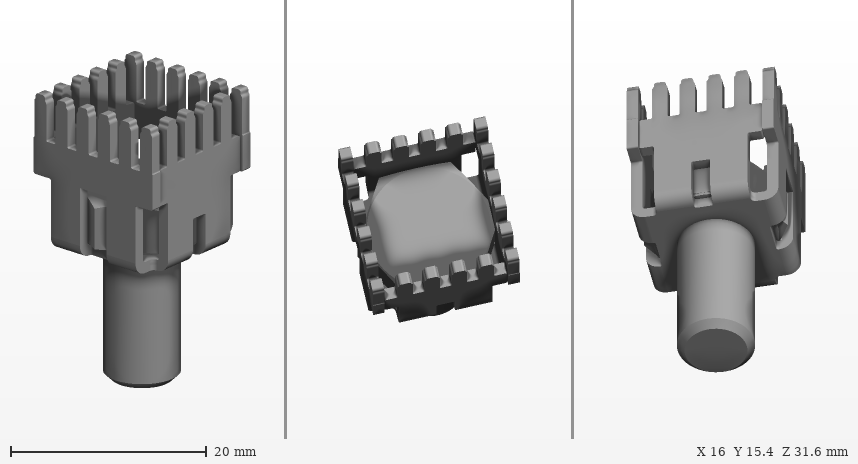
import cadquery as cq
import math

sheet = 1.2
cage_width = 15.4
bend_inner_radius = 0.3
bracket_height = 16.8
band_bottom = 7.87
finger_root = 11.82
front_band_width = 16.0
band_gap = 0.1
edge_radius = 0.2

front_leg_span = 11.38
side_leg_span = 9.8
floor_corner_radius = 0.5
front_slot_width = 3.57
side_slot_width = 2.0
side_slot_top = 4.9
slot_corner_radius = 0.25

finger_pitch = 2.85
finger_width = 1.6
front_finger_count = 6
side_finger_count = 4
neck_width = 1.23
neck_drop = 0.45
tip_radius = 0.3
hollow_radius = 0.3
shoulder_radius = 0.47

shank_diameter = 8.03
shank_length = 14.8
shank_end_diameter = 6.45
end_chamfer_length = 0.75
washer_face_diameter = 12.95
washer_face_height = 0.32
head_top = 6.67
head_chamfer_angle = 30
head_top_diameter = 12.7

half_cage = cage_width / 2
half_inside = half_cage - sheet
bend_outer_radius = bend_inner_radius + sheet
slot_floor_reach = half_inside - bend_inner_radius - slot_corner_radius
side_band_width = 2 * (half_inside - band_gap)
hex_across_flats = 2 * half_inside
hex_across_corners = hex_across_flats / math.cos(math.radians(30))
hex_bottom = sheet + washer_face_height


def bent_strip(width):
    """U-shaped strip along X: floor, two bends and two walls up to the band."""
    outer = (
        cq.Workplane("XY")
        .box(cage_width, width, band_bottom, centered=(True, True, False))
        .edges("|Y and <Z")
        .fillet(bend_outer_radius)
    )
    inner = (
        cq.Workplane("XY", origin=(0, 0, sheet))
        .box(2 * half_inside, width, band_bottom, centered=(True, True, False))
        .edges("|Y and <Z")
        .fillet(bend_inner_radius)
    )
    return outer.cut(inner)


def quarter_turn(body):
    return body.rotate((0, 0, 0), (0, 0, 1), 90)


def floor_and_legs():
    """Two crossed strips; the four open corners of the floor are rounded."""
    cross = bent_strip(side_leg_span).union(quarter_turn(bent_strip(front_leg_span)))
    for sx in (-1, 1):
        for sy in (-1, 1):
            corner = (sx * front_leg_span / 2, sy * side_leg_span / 2, sheet / 2)
            cross = cross.edges(cq.selectors.NearestToPointSelector(corner)).fillet(floor_corner_radius)
    return cross


def leg_slots(width, top):
    """Pair of slots through the -X and +X walls and bends, with rounded corners in the floor."""
    depth = half_cage - slot_floor_reach
    slots = cq.Workplane("XY")
    for side in (-1, 1):
        slots = slots.union(
            cq.Workplane("XY")
            .center(side * (slot_floor_reach + depth / 2), 0)
            .box(depth, width, top, centered=(True, True, False))
            .edges("|Z and " + ("<X" if side > 0 else ">X"))
            .fillet(slot_corner_radius)
        )
    return slots


def finger(center_x):
    """One finger on the XZ plane: flared root, straight sides, S-shaped shoulders, rounded tip."""
    half = finger_width / 2
    neck = neck_width / 2
    neck_end = bracket_height - neck_drop
    swing = math.acos(1 - (half - neck) / (hollow_radius + shoulder_radius))
    shoulder_middle = neck_end - hollow_radius * math.sin(swing)
    side_top = shoulder_middle - shoulder_radius * math.sin(swing)
    middle_half = neck + hollow_radius * (1 - math.cos(swing))
    foot = finger_root - edge_radius
    right_half = (
        cq.Workplane("XZ")
        .moveTo(0, foot)
        .lineTo(half + edge_radius, foot)
        .lineTo(half + edge_radius, finger_root)
        .radiusArc((half, finger_root + edge_radius), edge_radius)
        .lineTo(half, side_top)
        .radiusArc((middle_half, shoulder_middle), -shoulder_radius)
        .radiusArc((neck, neck_end), hollow_radius)
        .lineTo(neck, bracket_height - tip_radius)
        .radiusArc((neck - tip_radius, bracket_height), -tip_radius)
        .lineTo(0, bracket_height)
        .close()
        .extrude(sheet)
    )
    return right_half.union(right_half.mirror("YZ")).translate((center_x, 0, 0))


def comb(band_width, leg_span, finger_count):
    """Band with its row of fingers, filling Y = -sheet to 0."""
    band = (
        cq.Workplane("XZ")
        .center(0, (band_bottom + finger_root) / 2)
        .rect(band_width, finger_root - band_bottom)
        .extrude(sheet)
        .edges("|Y")
        .fillet(edge_radius)
    )
    for i in range(finger_count):
        band = band.union(finger((i - (finger_count - 1) / 2) * finger_pitch))
    half_leg = leg_span / 2
    web = (
        cq.Workplane("XZ")
        .moveTo(half_leg, band_bottom - edge_radius)
        .radiusArc((half_leg + edge_radius, band_bottom), edge_radius)
        .lineTo(half_leg + edge_radius, band_bottom + edge_radius)
        .lineTo(half_leg - edge_radius, band_bottom + edge_radius)
        .lineTo(half_leg - edge_radius, band_bottom - edge_radius)
        .close()
        .extrude(sheet)
    )
    limits = cq.Workplane("XY").box(band_width, 2 * sheet, 2 * bracket_height)
    return band.union(web).union(web.mirror("YZ")).intersect(limits)


def washer_face():
    return (
        cq.Workplane("XY", origin=(0, 0, sheet))
        .circle(washer_face_diameter / 2)
        .extrude(washer_face_height)
    )


def bracket_body():
    body = floor_and_legs()
    body = body.cut(leg_slots(side_slot_width, side_slot_top).edges("|X and >Z").fillet(edge_radius))
    body = body.cut(quarter_turn(leg_slots(front_slot_width, band_bottom)))
    front_comb = comb(front_band_width, front_leg_span, front_finger_count)
    side_comb = comb(side_band_width, side_leg_span, side_finger_count)
    for i in range(2):
        turn = 180 * i
        body = body.union(
            front_comb.translate((0, -half_inside, 0)).rotate((0, 0, 0), (0, 0, 1), turn)
        )
        body = body.union(
            side_comb.translate((0, -half_inside, 0)).rotate((0, 0, 0), (0, 0, 1), turn + 90)
        )
    shank_hole = cq.Workplane("XY").circle(shank_diameter / 2).extrude(sheet)
    body = body.cut(washer_face())
    return body.cut(shank_hole)


def bolt_body():
    rim = hex_across_corners / 2
    rim_drop = (rim - head_top_diameter / 2) * math.tan(math.radians(head_chamfer_angle))
    head_envelope = (
        cq.Workplane("XZ")
        .moveTo(0, hex_bottom)
        .lineTo(rim, hex_bottom)
        .lineTo(rim, head_top - rim_drop)
        .lineTo(head_top_diameter / 2, head_top)
        .lineTo(0, head_top)
        .close()
        .revolve(360, (0, 0, 0), (0, 1, 0))
    )
    head = (
        cq.Workplane("XY", origin=(0, 0, hex_bottom))
        .polygon(6, hex_across_corners)
        .extrude(head_top - hex_bottom)
        .rotate((0, 0, 0), (0, 0, 1), 90)
        .intersect(head_envelope)
    )
    end_inset = (shank_diameter - shank_end_diameter) / 2
    shank = (
        cq.Workplane("XY", origin=(0, 0, -shank_length))
        .circle(shank_diameter / 2)
        .extrude(shank_length + sheet)
        .faces("<Z")
        .chamfer(end_chamfer_length, end_inset)
    )
    return head.union(washer_face()).union(shank)


bracket = bracket_body()
bolt = bolt_body()

result = cq.Compound.makeCompound([bracket.solids().val(), bolt.solids().val()])